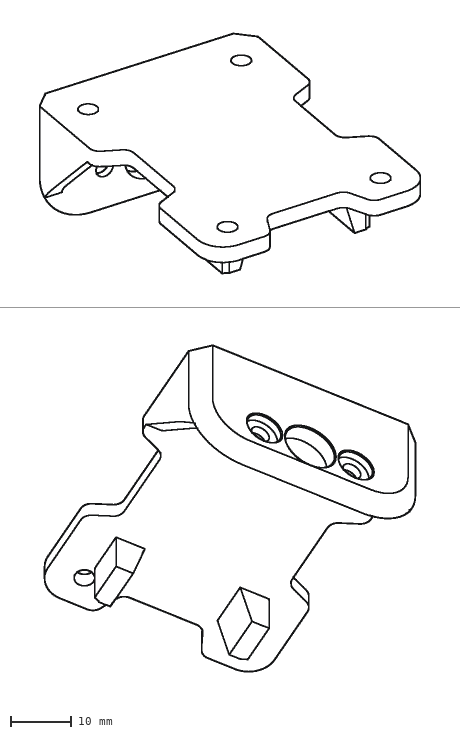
import cadquery as cq

length = 57.8
width = 42.4
height = 23.74
plate_thickness = 3.0
wall = 2.95

rear_corner_radius = 4.9
notch_depth = 5.5
notch_mouth = 20.0
notch_floor = 15.0
notch_radius = 2.0
zone_margin = 0.5
side_notch_x = 30.0

screw_diameter = 3.4
front_screw_x = 8.0
screw_pitch_x = 44.0
screw_pitch_y = 29.7

hood_radius = 10.0
front_chamfer = wall
gusset_toe_z = -18.05

opening_z = -15.95
window_diameter = 9.2
mount_diameter = 3.3
mount_pitch = 17.1
counterbore_diameter = 6.3
counterbore_depth = 1.5
rim_chamfer = 0.2

post_x = 41.8
post_length = 8.1
post_height = 7.55
post_outer_y = 14.3
post_tip_width = 3.2
post_root_width = 5.4
screw_clearance_radius = 2.65

rear_screw_x = front_screw_x + screw_pitch_x


def notch(x, y, turn):
    """Trapezoidal notch cutter with its mouth centred at (x, y), opening toward +Y before turning."""
    half_mouth = notch_mouth / 2
    half_floor = notch_floor / 2
    return (
        cq.Workplane("XY")
        .polyline([
            (-half_mouth, 0),
            (-half_floor, -notch_depth),
            (half_floor, -notch_depth),
            (half_mouth, 0),
        ])
        .close()
        .extrude(-plate_thickness)
        .rotate((0, 0, 0), (0, 0, 1), turn)
        .translate((x, y, 0))
    )


def corner_zone(x, y, size_x, size_y):
    """Selector for the upright edges inside a plan rectangle centred at (x, y)."""
    reach_x = size_x / 2 + zone_margin
    reach_y = size_y / 2 + zone_margin
    return cq.selectors.BoxSelector(
        (x - reach_x, y - reach_y, -plate_thickness),
        (x + reach_x, y + reach_y, 0),
    )


def make_plate():
    plate = (
        cq.Workplane("XY")
        .box(length, width, plate_thickness, centered=(False, True, False))
        .translate((0, 0, -plate_thickness))
    )
    plate = plate.edges("|Z and >X").fillet(rear_corner_radius)
    plate = plate.edges("|Z and <X").chamfer(front_chamfer)
    notches = [
        (side_notch_x, width / 2, 0),
        (side_notch_x, -width / 2, 180),
        (length, 0, -90),
    ]
    for x, y, turn in notches:
        plate = plate.cut(notch(x, y, turn))
    side_corners = corner_zone(side_notch_x, 0, notch_mouth, width)
    rear_corners = corner_zone(length, 0, 2 * notch_depth, notch_mouth)
    plate = plate.edges("|Z").edges(side_corners + rear_corners).fillet(notch_radius)
    return plate


def hood_block(start_x, end_x, inset):
    """Block with rounded lower corners, offset inward from the hood outline by inset."""
    return (
        cq.Workplane("XY")
        .box(end_x - start_x, width - 2 * inset, height - inset, centered=(False, True, False))
        .translate((start_x, 0, inset - height))
        .edges("|X and <Z")
        .fillet(hood_radius - inset)
    )


def make_hood():
    cut_end_x = wall - gusset_toe_z - plate_thickness
    hood = hood_block(0, cut_end_x, 0)
    hood = hood.faces("<X").edges("not >Z").chamfer(front_chamfer)
    hood = hood.cut(hood_block(wall, cut_end_x, wall))
    below_gussets = (
        cq.Workplane("XZ")
        .polyline([
            (wall, -height),
            (wall, gusset_toe_z),
            (cut_end_x, -plate_thickness),
            (cut_end_x, -height),
        ])
        .close()
        .extrude(width, both=True)
    )
    return hood.cut(below_gussets)


def front_bore(y, diameter, depth):
    """Bore entering the front wall along +X, with a small chamfer at its rim."""
    radius = diameter / 2
    profile = [
        (0, 0),
        (radius + rim_chamfer, 0),
        (radius, rim_chamfer),
        (radius, depth),
        (0, depth),
    ]
    return (
        cq.Workplane("XY")
        .polyline(profile)
        .close()
        .revolve(360, (0, 0, 0), (0, 1, 0))
        .rotate((0, 0, 0), (0, 0, 1), -90)
        .translate((0, y, opening_z))
    )


def cut_front_openings(body):
    body = body.cut(front_bore(0, window_diameter, wall))
    for y in (-mount_pitch / 2, mount_pitch / 2):
        body = body.cut(front_bore(y, counterbore_diameter, counterbore_depth))
        mount_hole = cq.Workplane("YZ").center(y, opening_z).circle(mount_diameter / 2).extrude(wall)
        body = body.cut(mount_hole)
    return body


def make_post():
    """Post on the -Y side: upright outer face, sloping inner face, relieved around the rear screw."""
    post = (
        cq.Workplane("YZ")
        .workplane(offset=post_x)
        .polyline([
            (-post_outer_y, -plate_thickness),
            (-post_outer_y, -plate_thickness - post_height),
            (-post_outer_y + post_tip_width, -plate_thickness - post_height),
            (-post_outer_y + post_root_width, -plate_thickness),
        ])
        .close()
        .extrude(post_length)
    )
    relief = (
        cq.Workplane("XY")
        .workplane(offset=-plate_thickness)
        .center(rear_screw_x, -screw_pitch_y / 2)
        .circle(screw_clearance_radius)
        .extrude(-post_height)
    )
    return post.cut(relief)


def drill_screw_holes(body):
    corners = [
        (x, y)
        for x in (front_screw_x, rear_screw_x)
        for y in (-screw_pitch_y / 2, screw_pitch_y / 2)
    ]
    drills = cq.Workplane("XY").pushPoints(corners).circle(screw_diameter / 2).extrude(-plate_thickness)
    return body.cut(drills)


post = make_post()
body = make_plate().union(make_hood())
body = body.union(post).union(post.mirror("XZ"))
body = cut_front_openings(body)
result = drill_screw_holes(body)